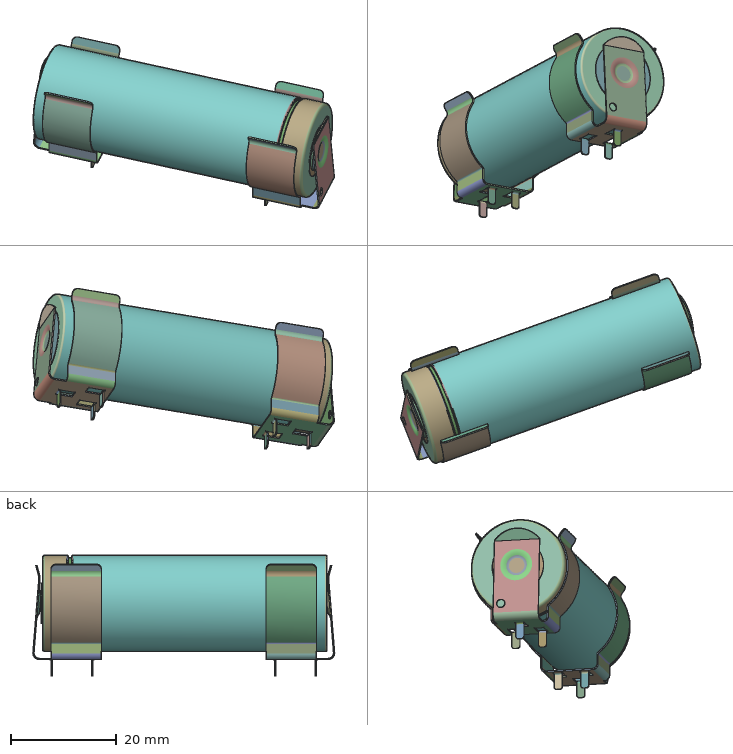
import cadquery as cq
import math

sleeve_diameter = 18.3
sleeve_wall = 0.15
negative_end = -27.15
positive_end = 26.75
negative_rim_radius = 0.35
positive_rim_radius = 0.5
negative_opening = 12.0
positive_opening = 10.0
groove_center = 21.53
groove_floor_width = 0.6
groove_depth = 0.5
groove_lip_radius = 0.32
terminal_diameter = 7.7
terminal_face = 27.0

sleeve_radius = sleeve_diameter / 2
can_positive_end = positive_end - sleeve_wall

sheet = 0.265
band_inner = -15.6
band_outer = -25.1
band_inner_radius = sleeve_radius
band_outer_radius = band_inner_radius + sheet
base_bottom = -10.65
wall_half_width = 5.6
base_bend_radius = 1.07
neck_bend_radius = 0.4
lip_bend_radius = 0.9
lip_bend_start = 32.6
lip_angle = 36.0
lip_top = 7.45
lip_corner_radius = 1.0
base_top = base_bottom + sheet
band_width = band_inner - band_outer

tongue_tip_x = -28.575
tongue_half_width = 4.4
tongue_bend_radius = 1.26
tongue_lean = 4.6
tongue_kink_z = 4.95
flare_angle = 15.0
flare_top = 7.13
flare_corner_z = 5.05
drain_hole_diameter = 1.57
drain_hole_y = 2.93
drain_hole_z = -7.43

dimple_rim_radius = 3.1
dimple_middle_radius = 2.0
dimple_flat_radius = 1.5
dimple_depth = 0.43

pin_width = 1.57
overall_height = 22.85
pin_bottom = sleeve_radius - overall_height
pin_tip_radius = 0.5
pin_bend_radius = 0.3
pin_pitch = 2.59
side_pin_x = -17.34
middle_pin_x = -24.97
window_clearance = 0.15


def polar(center, radius, degrees):
    """Point at the given radius and angle around a center."""
    angle = math.radians(degrees)
    return (center[0] + radius * math.cos(angle), center[1] + radius * math.sin(angle))



def cell_shape(inset):
    """Battery envelope, set in from the sleeve surface by the given distance."""
    body = (
        cq.Workplane("YZ", origin=(negative_end + inset, 0, 0))
        .circle(sleeve_radius - inset)
        .extrude(positive_end - negative_end - 2 * inset)
    )
    body = body.faces("<X").edges().fillet(negative_rim_radius - inset)
    body = body.faces(">X").edges().fillet(positive_rim_radius - inset)

    top = sleeve_radius - inset
    floor = top - groove_depth
    half_floor = groove_floor_width / 2 + inset
    lip_radius = groove_lip_radius - inset
    half_mouth = half_floor + lip_radius
    lip_z = top - lip_radius
    bulge = math.sqrt(0.5) * lip_radius
    wall_left = groove_center - half_floor
    wall_right = groove_center + half_floor
    mouth_left = groove_center - half_mouth
    mouth_right = groove_center + half_mouth
    above = top + groove_depth
    groove = (
        cq.Workplane("XZ")
        .moveTo(wall_left, floor)
        .lineTo(wall_left, lip_z)
        .threePointArc((mouth_left + bulge, lip_z + bulge), (mouth_left, top))
        .lineTo(mouth_left, above)
        .lineTo(mouth_right, above)
        .lineTo(mouth_right, top)
        .threePointArc((mouth_right - bulge, lip_z + bulge), (wall_right, lip_z))
        .lineTo(wall_right, floor)
        .close()
        .revolve(360, (0, 0, 0), (1, 0, 0))
    )
    return body.cut(groove)


def end_opening(start_x, diameter):
    """Disc that opens one end wall of the sleeve."""
    return cq.Workplane("YZ", origin=(start_x, 0, 0)).circle(diameter / 2).extrude(sleeve_wall)


def make_sleeve(can):
    sleeve = cell_shape(0).cut(can)
    sleeve = sleeve.cut(end_opening(negative_end, negative_opening))
    return sleeve.cut(end_opening(can_positive_end, positive_opening))


def make_terminal():
    return (
        cq.Workplane("YZ", origin=(can_positive_end, 0, 0))
        .circle(terminal_diameter / 2)
        .extrude(terminal_face - can_positive_end)
    )



def band_half():
    """Half of the base, one wall, the curved band and its lip, on the +Y side."""
    base_center = (wall_half_width - base_bend_radius, base_bottom + base_bend_radius)
    base_inner_radius = base_bend_radius - sheet

    neck_y = wall_half_width + neck_bend_radius
    neck_reach = band_outer_radius + neck_bend_radius
    neck_center = (neck_y, -math.sqrt(neck_reach**2 - neck_y**2))
    neck_angle = math.degrees(math.atan2(neck_center[1], neck_center[0]))
    neck_end = neck_angle + 180
    neck_mid = (neck_end + 180) / 2
    neck_inner_radius = neck_bend_radius + sheet

    lip_center = polar((0, 0), band_outer_radius + lip_bend_radius, lip_bend_start)
    lip_start = 180 + lip_bend_start
    lip_end = 180 - lip_angle
    lip_mid = (lip_start + lip_end) / 2
    lip_inner_radius = lip_bend_radius + sheet
    lip_foot_inner = polar(lip_center, lip_inner_radius, lip_end)
    lip_foot_outer = polar(lip_center, lip_bend_radius, lip_end)
    lip_direction = 90 - lip_angle
    lip_length = (lip_top - lip_foot_inner[1]) / math.cos(math.radians(lip_angle))
    lip_tip_inner = polar(lip_foot_inner, lip_length, lip_direction)
    lip_tip_outer = polar(lip_foot_outer, lip_length, lip_direction)
    band_mid = (neck_angle + lip_bend_start) / 2

    half = (
        cq.Workplane("YZ", origin=(band_outer, 0, 0))
        .moveTo(0, base_bottom)
        .lineTo(base_center[0], base_bottom)
        .threePointArc(polar(base_center, base_bend_radius, -45), polar(base_center, base_bend_radius, 0))
        .lineTo(wall_half_width, neck_center[1])
        .threePointArc(
            polar(neck_center, neck_bend_radius, neck_mid), polar(neck_center, neck_bend_radius, neck_end)
        )
        .threePointArc(
            polar((0, 0), band_outer_radius, band_mid), polar((0, 0), band_outer_radius, lip_bend_start)
        )
        .threePointArc(polar(lip_center, lip_bend_radius, lip_mid), lip_foot_outer)
        .lineTo(*lip_tip_outer)
        .lineTo(*lip_tip_inner)
        .lineTo(*lip_foot_inner)
        .threePointArc(
            polar(lip_center, lip_inner_radius, lip_mid), polar(lip_center, lip_inner_radius, lip_start)
        )
        .threePointArc(
            polar((0, 0), band_inner_radius, band_mid), polar((0, 0), band_inner_radius, neck_angle)
        )
        .threePointArc(
            polar(neck_center, neck_inner_radius, neck_mid), polar(neck_center, neck_inner_radius, 180)
        )
        .lineTo(wall_half_width - sheet, base_center[1])
        .threePointArc(
            polar(base_center, base_inner_radius, -45), polar(base_center, base_inner_radius, -90)
        )
        .lineTo(0, base_top)
        .close()
        .extrude(band_width)
    )

    lip_edge_middle = polar(lip_tip_inner, sheet / 2, -lip_angle)
    for corner_x in (band_outer, band_inner):
        corner = (corner_x, lip_edge_middle[0], lip_edge_middle[1])
        half = half.edges(cq.selectors.NearestToPointSelector(corner)).fillet(lip_corner_radius)
    return half


def tongue():
    """Contact tongue: out from the base, up along the battery end, flared at the top."""
    bend_center = (tongue_tip_x + tongue_bend_radius, base_bottom + tongue_bend_radius)
    bend_inner_radius = tongue_bend_radius - sheet
    bend_end = 180 - tongue_lean
    bend_mid = (270 + bend_end) / 2
    foot_outer = polar(bend_center, tongue_bend_radius, bend_end)
    foot_inner = polar(bend_center, bend_inner_radius, bend_end)

    lean = math.radians(tongue_lean)
    kink_outer = (foot_outer[0] + (tongue_kink_z - foot_outer[1]) * math.tan(lean), tongue_kink_z)
    half_turn = math.radians((tongue_lean + flare_angle) / 2)
    kink_inner = polar(kink_outer, sheet / math.cos(half_turn), (flare_angle - tongue_lean) / 2)
    flare = math.tan(math.radians(flare_angle))
    top_outer = (kink_outer[0] - (flare_top - kink_outer[1]) * flare, flare_top)
    top_inner = polar(top_outer, sheet, flare_angle)

    strip = (
        cq.Workplane("XZ")
        .moveTo(band_outer, base_bottom)
        .lineTo(bend_center[0], base_bottom)
        .threePointArc(polar(bend_center, tongue_bend_radius, bend_mid), foot_outer)
        .lineTo(*kink_outer)
        .lineTo(*top_outer)
        .lineTo(*top_inner)
        .lineTo(*kink_inner)
        .lineTo(*foot_inner)
        .threePointArc(
            polar(bend_center, bend_inner_radius, bend_mid), polar(bend_center, bend_inner_radius, 270)
        )
        .lineTo(band_outer, base_top)
        .close()
        .extrude(tongue_half_width, both=True)
    )
    face_outline = (
        cq.Workplane("YZ", origin=(tongue_tip_x, 0, 0))
        .moveTo(-tongue_half_width, base_bottom)
        .lineTo(-tongue_half_width, flare_corner_z)
        .threePointArc((0, flare_top), (tongue_half_width, flare_corner_z))
        .lineTo(tongue_half_width, base_bottom)
        .close()
        .extrude(band_outer - tongue_tip_x)
    )
    drain_hole = (
        cq.Workplane("YZ", origin=(tongue_tip_x, drain_hole_y, drain_hole_z))
        .circle(drain_hole_diameter / 2)
        .extrude(negative_end - tongue_tip_x)
    )
    strip = strip.intersect(face_outline).cut(drain_hole)

    dimple_x = foot_outer[0] - foot_outer[1] * math.tan(lean)
    press_direction = (math.cos(lean), 0, -math.sin(lean))
    dimple_plane = cq.Plane(origin=(dimple_x, 0, 0), xDir=(0, 1, 0), normal=press_direction)
    blank = cq.Workplane(dimple_plane).circle(dimple_rim_radius).extrude(sheet)
    cup = dimple_cup().val().moved(cq.Location(dimple_plane))
    return strip.cut(blank).union(cq.Workplane(cup))


def dimple_cup():
    """Pressed cup about the Z axis: rim at Z = 0, sunk toward +Z, sheet thickness throughout."""
    run = dimple_rim_radius - dimple_flat_radius
    slope = 2 * math.atan(dimple_depth / run)
    rim_curve = (dimple_rim_radius - dimple_middle_radius) / math.sin(slope)
    floor_curve = (dimple_middle_radius - dimple_flat_radius) / math.sin(slope)
    rim_center = (dimple_rim_radius, rim_curve)
    floor_center = (dimple_flat_radius, dimple_depth - floor_curve)
    steep = math.degrees(slope)

    return (
        cq.Workplane("XZ")
        .moveTo(0, dimple_depth)
        .lineTo(dimple_flat_radius, dimple_depth)
        .threePointArc(
            polar(floor_center, floor_curve, 90 - steep / 2), polar(floor_center, floor_curve, 90 - steep)
        )
        .threePointArc(
            polar(rim_center, rim_curve, 270 - steep / 2), polar(rim_center, rim_curve, 270)
        )
        .lineTo(dimple_rim_radius, sheet)
        .threePointArc(
            polar(rim_center, rim_curve - sheet, 270 - steep / 2),
            polar(rim_center, rim_curve - sheet, 270 - steep),
        )
        .threePointArc(
            polar(floor_center, floor_curve + sheet, 90 - steep / 2),
            polar(floor_center, floor_curve + sheet, 90),
        )
        .lineTo(0, dimple_depth + sheet)
        .close()
        .revolve(360, (0, 0, 0), (0, 1, 0))
    )


def pin(x, y, root_side):
    """Pin bent down from the base; root_side is +1 or -1, the X side it is attached on."""
    near = x + root_side * sheet / 2
    far = x - root_side * sheet / 2
    root = near + root_side * pin_bend_radius
    bend_center = (root, base_bottom - pin_bend_radius)
    bend_mid = 90 + root_side * 45
    bend_end = 90 + root_side * 90
    outer_radius = pin_bend_radius + sheet
    return (
        cq.Workplane("XZ", origin=(0, y, 0))
        .moveTo(root, base_top)
        .threePointArc(
            polar(bend_center, outer_radius, bend_mid), polar(bend_center, outer_radius, bend_end)
        )
        .lineTo(far, pin_bottom)
        .lineTo(near, pin_bottom)
        .lineTo(near, bend_center[1])
        .threePointArc(polar(bend_center, pin_bend_radius, bend_mid), (root, base_bottom))
        .close()
        .extrude(pin_width / 2, both=True)
        .faces("<Z")
        .edges("|X")
        .fillet(pin_tip_radius)
    )


def pin_window(x, y, root_side):
    """Opening left in the base where a pin was cut free and bent down."""
    root = x + root_side * (sheet / 2 + pin_bend_radius)
    length = base_bottom - pin_bottom + pin_bend_radius
    return (
        cq.Workplane("XY", origin=(root - root_side * length / 2, y, base_bottom))
        .rect(length, pin_width + 2 * window_clearance)
        .extrude(sheet)
    )


def make_clip():
    """Clip at the negative end."""
    half = band_half()
    clip = half.union(half.mirror("XZ")).union(tongue())
    pins = [
        (side_pin_x, -pin_pitch, 1),
        (side_pin_x, pin_pitch, 1),
        (middle_pin_x, 0, -1),
    ]
    for placement in pins:
        clip = clip.cut(pin_window(*placement)).union(pin(*placement))
    return clip


can = cell_shape(sleeve_wall)
sleeve = make_sleeve(can)
terminal = make_terminal()
clip = make_clip()
clips = [clip.rotate((0, 0, 0), (0, 0, 1), turn) for turn in (0, 180)]

bodies = [can, sleeve, terminal, *clips]
result = cq.Compound.makeCompound([body.solids().val() for body in bodies])